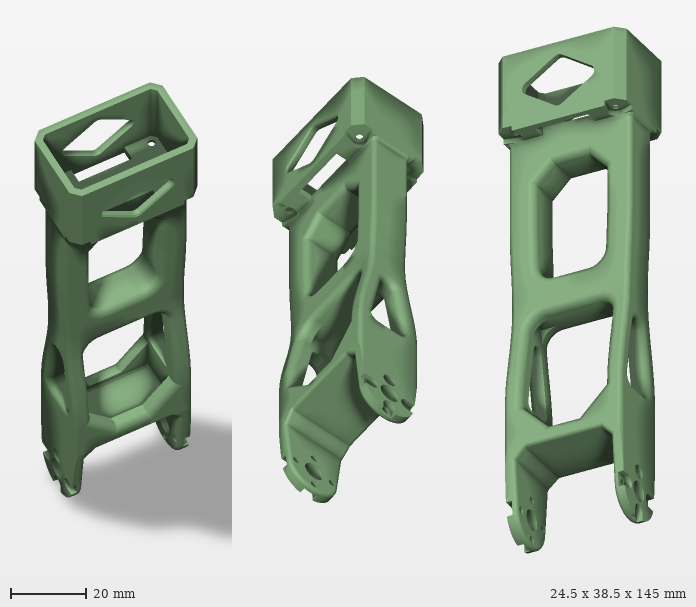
import cadquery as cq
import math

TOTAL_HEIGHT = 145.0
WALL_X = 4.0
CORNER_RADIUS = 1.25
WINDOW_RADIUS = 2.0

SOCKET_X = 24.5
SOCKET_Y = 38.5
SOCKET_BOTTOM = 121.5
SOCKET_WALL = 2.0
SOCKET_CHAMFER = 2.5
FLOOR_THICKNESS = 2.5
SLOT_HALF_Y = 8.0
DIAMOND_Z = 133.3
DIAMOND_HALF_Y = 12.5
DIAMOND_HALF_Z = 8.2
DIAMOND_RADIUS = 2.0
DIAMOND_BEVEL = 0.4
DIAMOND_BEVEL_ANGLE = 45

UPPER_HALF_X = 5.9
UPPER_HALF_Y = 18.5
LOWER_HALF_X = 10.0
LOWER_HALF_Y = 17.75
BEND_TOP = 94.0
WAIST = 72.0
BEND_BOTTOM = 38.0
FLARE_HEIGHT = 0.8
FLARE_X = 0.3

TIP_RADIUS = 8.25
PIVOT_Z = TIP_RADIUS
FORK_HALF_GAP = 14.5
FORK_TOP = 25.1
TAPER_START = FORK_TOP
FORK_CHAMFER = 3.0
FORK_EDGE_RADIUS = 1.0
PIVOT_DIAMETER = 6.0
BOLT_CIRCLE_RADIUS = 6.0
FORK_SCREW_COUNT = 4

SCREW_DIAMETER = 2.05
HEAD_DIAMETER = 4.1
FORK_HEAD_DEPTH = 1.75
SOCKET_HEAD_DEPTH = 1.5
SOCKET_SCREW_X = 8.0
SOCKET_SCREW_Y = 15.0
FORK_MOUTH_ANGLE = 0.0
SOCKET_MOUTH_ANGLE = 30.0
MOUTH_LENGTH = 8.0

UPPER_WINDOW_HALF_Y = 10.6
UPPER_WINDOW_LOW_HALF_Y = 10.1
UPPER_WINDOW_TOP = 113.0
UPPER_WINDOW_BOTTOM = 78.0
UPPER_WINDOW_CHAMFER = 5.3
LOWER_WINDOW_HALF_Y = 12.75
LOWER_WINDOW_TOP = 67.2
LOWER_WINDOW_SHOULDER = 37.9
LOWER_WINDOW_CHAMFER = 8.0
WINDOW_CORNER_RADIUS = 5.0
CAVITY_FLOOR = 28.0
CAVITY_FLOOR_CHAMFER = 0.5
SIDE_WINDOW_BOTTOM = 39.7
SIDE_WINDOW_TOP = 61.0
SIDE_WINDOW_SLOPE = 10.0
SIDE_WINDOW_TOP_RADIUS = 2.25
SIDE_WINDOW_CORNER_RADIUS = 2.0

THROUGH = 60.0
TOLERANCE = 0.01


def extrude_x(outline):
    """Extrude a YZ outline through the whole part along X."""
    return outline.extrude(THROUGH).translate((-THROUGH / 2, 0, 0))


def extrude_y(outline):
    """Extrude an XZ outline through the whole part along Y."""
    return outline.extrude(THROUGH).translate((0, THROUGH / 2, 0))


def mirrored_outline(plane, half):
    """Close a right half outline made of (u, z) points by mirroring it about u = 0."""
    left = [(-u, z) for u, z in reversed(half)]
    return cq.Workplane(plane).polyline(half + left).close()


def bent_profile(plane, upper, lower, inset, bottom, top):
    """Arm profile: straight, bent above and below the waist, then straight again.

    upper and lower are the half widths of the straight ends, both reduced by inset.
    """
    waist = min(upper, lower)
    right_upper = [(upper - inset, BEND_TOP), (waist - inset, WAIST)]
    right_lower = [(waist - inset, WAIST), (lower - inset, BEND_BOTTOM)]
    left_lower = [(-u, z) for u, z in reversed(right_lower)]
    left_upper = [(-u, z) for u, z in reversed(right_upper)]
    down = [(0, -1), (0, -1)]
    up = [(0, 1), (0, 1)]
    return (
        cq.Workplane(plane)
        .moveTo(upper - inset, top)
        .lineTo(*right_upper[0])
        .spline(right_upper[1:], tangents=down, includeCurrent=True)
        .spline(right_lower[1:], tangents=down, includeCurrent=True)
        .lineTo(lower - inset, bottom)
        .lineTo(inset - lower, bottom)
        .lineTo(*left_lower[0])
        .spline(left_lower[1:], tangents=up, includeCurrent=True)
        .spline(left_upper[1:], tangents=up, includeCurrent=True)
        .lineTo(inset - upper, top)
        .close()
    )


def is_lengthwise(edge):
    return abs(edge.endPoint().z - edge.startPoint().z) > TOLERANCE


def make_arm():
    """Solid arm: the front profile crossed with the side profile, long edges rounded."""
    front = extrude_y(bent_profile("XZ", UPPER_HALF_X, LOWER_HALF_X, 0, 0, SOCKET_BOTTOM))
    side = extrude_x(bent_profile("YZ", UPPER_HALF_Y, LOWER_HALF_Y, 0, 0, SOCKET_BOTTOM))
    arm = front.intersect(side)
    return arm.newObject([e for e in arm.edges().vals() if is_lengthwise(e)]).fillet(CORNER_RADIUS)


def taper_fork(arm):
    """Trim the lower end to straight flanks that run tangent into the round tip."""
    rise = TAPER_START - PIVOT_Z
    reach = math.hypot(LOWER_HALF_X, rise)
    tangent = math.atan2(rise, LOWER_HALF_X) - math.acos(TIP_RADIUS / reach)
    tangent_x = TIP_RADIUS * math.cos(tangent)
    tangent_z = PIVOT_Z + TIP_RADIUS * math.sin(tangent)
    outline = (
        cq.Workplane("XZ")
        .moveTo(THROUGH / 2, TOTAL_HEIGHT)
        .lineTo(THROUGH / 2, TAPER_START)
        .lineTo(LOWER_HALF_X, TAPER_START)
        .lineTo(tangent_x, tangent_z)
        .threePointArc((0, 0), (-tangent_x, tangent_z))
        .lineTo(-LOWER_HALF_X, TAPER_START)
        .lineTo(-THROUGH / 2, TAPER_START)
        .lineTo(-THROUGH / 2, TOTAL_HEIGHT)
        .close()
    )
    return arm.intersect(extrude_y(outline))


def spans(shape):
    """Extents of a shape along X, Y and Z."""
    box = shape.BoundingBox()
    return (box.xmin, box.xmax), (box.ymin, box.ymax), (box.zmin, box.zmax)


def cut_fork_gap(arm):
    """Open the gap between the two prongs and round its rims."""
    gap = mirrored_outline("YZ", [
        (FORK_HALF_GAP, 0),
        (FORK_HALF_GAP, FORK_TOP - FORK_CHAMFER),
        (FORK_HALF_GAP - FORK_CHAMFER, FORK_TOP),
    ])
    arm = arm.cut(extrude_x(gap))
    return arm.newObject([e for e in arm.edges().vals() if is_gap_rim(e)]).fillet(FORK_EDGE_RADIUS)


def is_gap_rim(edge):
    """True for edges of the gap other than its creases, which run across the part along X."""
    x_span, y_span, z_span = spans(edge)
    in_gap = max(map(abs, y_span)) < FORK_HALF_GAP + TOLERANCE and z_span[1] < FORK_TOP + TOLERANCE
    is_crease = edge.geomType() == "LINE" and x_span[0] * x_span[1] < 0
    return in_gap and not is_crease


def cut_with_rounded_rim(arm, window, axis, min_distance):
    """Cut a window and round its outer rims, found beyond min_distance along axis 0 (X) or 1 (Y)."""
    arm = arm.cut(window)
    window_spans = spans(window.val())
    other_axes = [i for i in range(3) if i != axis]

    def is_rim(edge):
        edge_spans = spans(edge)
        outside = edge_spans[axis][0] > min_distance or edge_spans[axis][1] < -min_distance
        return outside and all(
            edge_spans[i][0] > window_spans[i][0] - TOLERANCE
            and edge_spans[i][1] < window_spans[i][1] + TOLERANCE
            for i in other_axes
        )

    return arm.newObject([e for e in arm.edges().vals() if is_rim(e)]).fillet(WINDOW_RADIUS)


def make_upper_window():
    """Window through the upper arm along X, with sides that follow the bend."""
    outline = mirrored_outline("YZ", [
        (UPPER_WINDOW_LOW_HALF_Y, UPPER_WINDOW_BOTTOM),
        (UPPER_WINDOW_HALF_Y, BEND_TOP),
        (UPPER_WINDOW_HALF_Y, UPPER_WINDOW_TOP - UPPER_WINDOW_CHAMFER),
        (UPPER_WINDOW_HALF_Y - UPPER_WINDOW_CHAMFER, UPPER_WINDOW_TOP),
    ])
    return extrude_x(outline).edges("|X and <Z").fillet(WINDOW_CORNER_RADIUS)


def make_lower_window():
    """Window through the lower arm along X, rounded on top and chamfered below."""
    outline = mirrored_outline("YZ", [
        (LOWER_WINDOW_HALF_Y - LOWER_WINDOW_CHAMFER, LOWER_WINDOW_SHOULDER - LOWER_WINDOW_CHAMFER),
        (LOWER_WINDOW_HALF_Y, LOWER_WINDOW_SHOULDER),
        (LOWER_WINDOW_HALF_Y, LOWER_WINDOW_TOP),
    ])
    return extrude_x(outline).edges("|X and >Z").fillet(WINDOW_CORNER_RADIUS)


def make_side_window():
    """Tall tapered window with a round top, through both walls facing Y."""
    slope = math.radians(SIDE_WINDOW_SLOPE)
    top_x = SIDE_WINDOW_TOP_RADIUS * math.cos(slope)
    top_z = SIDE_WINDOW_TOP - SIDE_WINDOW_TOP_RADIUS * (1 - math.sin(slope))
    bottom_x = top_x + (top_z - SIDE_WINDOW_BOTTOM) * math.tan(slope)
    outline = (
        cq.Workplane("XZ")
        .moveTo(bottom_x, SIDE_WINDOW_BOTTOM)
        .lineTo(top_x, top_z)
        .threePointArc((0, SIDE_WINDOW_TOP), (-top_x, top_z))
        .lineTo(-bottom_x, SIDE_WINDOW_BOTTOM)
        .close()
    )
    return extrude_y(outline).edges("|Y and <Z").fillet(SIDE_WINDOW_CORNER_RADIUS)


def make_cavity():
    """Hollow between the lower windows, keeping the X walls at an even thickness."""
    profile = bent_profile("XZ", UPPER_HALF_X, LOWER_HALF_X, WALL_X, CAVITY_FLOOR, SOCKET_BOTTOM)
    limits = cq.Workplane("XY").workplane(offset=CAVITY_FLOOR).rect(THROUGH, 2 * LOWER_WINDOW_HALF_Y)
    cavity = extrude_y(profile).intersect(limits.extrude(LOWER_WINDOW_TOP - CAVITY_FLOOR))
    return cavity.faces("<Z").edges().chamfer(CAVITY_FLOOR_CHAMFER)


def polar_point(center, radius, degrees):
    angle = math.radians(degrees)
    return center[0] + radius * math.cos(angle), center[1] + radius * math.sin(angle)


def make_head_recess(plane, center, direction, flare, depth):
    """Round screw head recess with a mouth opening along direction.

    The sides of the mouth start tangent to the round seat and spread by flare, both in degrees.
    """
    radius = HEAD_DIAMETER / 2
    sides = []
    for side in (-1, 1):
        tangent_point = polar_point(center, radius, direction + side * (90 + flare))
        far_point = polar_point(tangent_point, MOUTH_LENGTH, direction + side * flare)
        sides.append((tangent_point, far_point))
    (right_near, right_far), (left_near, left_far) = sides
    mouth = plane.polyline([right_near, right_far, left_far, left_near]).close().extrude(depth)
    return plane.moveTo(*center).circle(radius).extrude(depth).union(mouth)


def make_fork_holes():
    """Pivot and screw holes through both prongs, with head recesses on the outer faces."""
    pivot = cq.Workplane("XZ", origin=(0, 0, PIVOT_Z))
    holes = extrude_y(pivot.circle(PIVOT_DIAMETER / 2))
    screws = pivot.polarArray(BOLT_CIRCLE_RADIUS, 0, 360, FORK_SCREW_COUNT).circle(SCREW_DIAMETER / 2)
    holes = holes.union(extrude_y(screws))

    seat = cq.Workplane("XZ", origin=(0, FORK_HEAD_DEPTH - LOWER_HALF_Y, PIVOT_Z))
    recesses = seat.center(0, BOLT_CIRCLE_RADIUS).circle(HEAD_DIAMETER / 2).extrude(FORK_HEAD_DEPTH)
    for direction in (0, 180, 270):
        center = polar_point((0, 0), BOLT_CIRCLE_RADIUS, direction)
        recess = make_head_recess(seat, center, direction, FORK_MOUTH_ANGLE, FORK_HEAD_DEPTH)
        recesses = recesses.union(recess)
    return holes.union(recesses).union(recesses.mirror("XZ"))


def make_diamond():
    """Rounded diamond through both X walls of the socket, with bevelled outer rims."""
    corners = [
        (DIAMOND_HALF_Y, 0),
        (0, DIAMOND_HALF_Z),
        (-DIAMOND_HALF_Y, 0),
        (0, -DIAMOND_HALF_Z),
    ]
    middle = cq.Workplane("YZ", origin=(0, 0, DIAMOND_Z))
    diamond = middle.polyline(corners).close().extrude(SOCKET_X / 2, both=True)
    diamond = diamond.edges("|X").fillet(DIAMOND_RADIUS)
    for side in (">X", "<X"):
        rim = diamond.faces(side).wires().toPending().offset2D(DIAMOND_BEVEL)
        diamond = diamond.union(rim.extrude(-DIAMOND_BEVEL, combine=False, taper=DIAMOND_BEVEL_ANGLE))
    return diamond


def make_socket():
    """Open box with chamfered corners, side diamonds, floor slots and four screw holes."""
    height = TOTAL_HEIGHT - SOCKET_BOTTOM
    base = cq.Workplane("XY", origin=(0, 0, SOCKET_BOTTOM))
    socket = base.rect(SOCKET_X, SOCKET_Y).extrude(height).edges("|Z").chamfer(SOCKET_CHAMFER)
    pocket_outline = socket.faces(">Z").wires().toPending().offset2D(-SOCKET_WALL)
    pocket = pocket_outline.extrude(FLOOR_THICKNESS - height, combine=False)
    socket = socket.cut(pocket).cut(make_diamond())

    slot_width = SOCKET_X / 2 - SOCKET_WALL - UPPER_HALF_X
    slot_x = UPPER_HALF_X + slot_width / 2
    slots = base.pushPoints([(slot_x, 0), (-slot_x, 0)]).rect(slot_width, 2 * SLOT_HALF_Y)
    socket = socket.cut(slots.extrude(FLOOR_THICKNESS))

    for x in (-SOCKET_SCREW_X, SOCKET_SCREW_X):
        for y in (-SOCKET_SCREW_Y, SOCKET_SCREW_Y):
            outwards = math.degrees(math.atan2(math.copysign(1, y), math.copysign(1, x)))
            hole = base.moveTo(x, y).circle(SCREW_DIAMETER / 2).extrude(FLOOR_THICKNESS)
            recess = make_head_recess(base, (x, y), outwards, SOCKET_MOUTH_ANGLE, SOCKET_HEAD_DEPTH)
            socket = socket.cut(hole).cut(recess)
    return socket


def rounded_section(half_x, half_y):
    return cq.Sketch().rect(2 * half_x, 2 * half_y).vertices().fillet(CORNER_RADIUS)


def make_flare():
    """Short flare that widens the arm to meet the underside of the socket."""
    arm_section = rounded_section(UPPER_HALF_X, UPPER_HALF_Y)
    socket_section = rounded_section(UPPER_HALF_X + FLARE_X, SOCKET_Y / 2)
    flare = (
        cq.Workplane("XY", origin=(0, 0, SOCKET_BOTTOM - FLARE_HEIGHT))
        .placeSketch(arm_section, socket_section.moved(cq.Location(cq.Vector(0, 0, FLARE_HEIGHT))))
        .loft()
    )
    clearance = cq.Workplane("XY").box(THROUGH, 2 * SLOT_HALF_Y, 2 * TOTAL_HEIGHT)
    return flare.cut(clearance)


arm = cut_fork_gap(taper_fork(make_arm()))
arm = cut_with_rounded_rim(arm, make_upper_window(), 0, WALL_X)
arm = cut_with_rounded_rim(arm, make_lower_window(), 0, WALL_X)
arm = cut_with_rounded_rim(arm, make_side_window(), 1, FORK_HALF_GAP)
arm = arm.cut(make_cavity()).cut(make_fork_holes())
result = arm.union(make_flare()).union(make_socket())